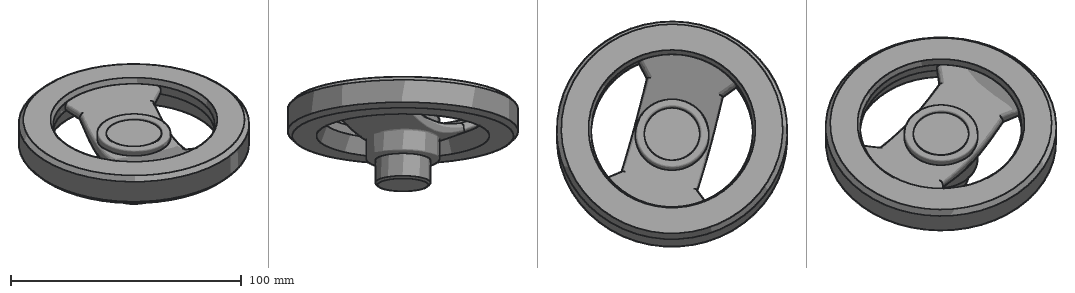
import cadquery as cq


rim_radius = 50.0
rim_height = 14.0
rim_chamfer = 2.0
rim_bore_radius = 35.0
rim_throat_top_depth = 2.4
rim_throat_bottom_depth = 6.4
rim_top_bore_radius = 36.2
rim_bottom_bore_radius = 37.5

web_end_radius = 36.0
web_end_top_depth = 2.0
web_end_bottom_depth = 6.0
web_mid_radius = 26.7
web_mid_top_depth = 5.6
web_mid_bottom_depth = 10.2
web_start_radius = 14.0
web_start_top_depth = 9.4

web_blend_radius = 17.2
web_blend_depth = 14.4
blend_mid_radius = 16.3
blend_mid_depth = 14.9
blend_bottom_depth = 15.7

web_half_width = 17.0
web_straight_half_length = 22.3
web_flare_length = 12.0
web_top_edge_radius = 2.0
web_bottom_edge_radius = 1.0

match_tolerance = 0.01
shortest_long_edge = 1.0

hub_radius = 31.9 / 2
hub_top_depth = 6.0
hub_bottom_depth = 25.0
hub_edge_radius = 1.0
shaft_radius = 24.0 / 2
shaft_top_depth = 7.0
shaft_bottom_depth = 36.0
shaft_chamfer = 1.0


def make_rim():
    """Ring with chamfered outer edges and a bore that opens both up and down."""
    profile = (
        cq.Workplane("XZ")
        .moveTo(rim_top_bore_radius, 0)
        .lineTo(rim_radius - rim_chamfer, 0)
        .lineTo(rim_radius, -rim_chamfer)
        .lineTo(rim_radius, -rim_height + rim_chamfer)
        .lineTo(rim_radius - rim_chamfer, -rim_height)
        .lineTo(rim_bottom_bore_radius, -rim_height)
        .lineTo(rim_bore_radius, -rim_throat_bottom_depth)
        .lineTo(rim_bore_radius, -rim_throat_top_depth)
        .close()
    )
    return profile.revolve(360, (0, 0, 0), (0, 1, 0))


class LongEdges(cq.Selector):
    """Picks the edges that follow the sides of the web inside a range of heights."""

    def __init__(self, lowest, highest):
        self.lowest = lowest
        self.highest = highest

    def filter(self, edges):
        return [edge for edge in edges if self.matches(edge)]

    def matches(self, edge):
        box = edge.BoundingBox()
        same_side = box.ymin * box.ymax > 0
        on_side = min(abs(box.ymin), abs(box.ymax)) > web_half_width - match_tolerance
        runs_along = box.xmax - box.xmin > shortest_long_edge
        above_lowest = box.zmin > self.lowest - match_tolerance
        below_highest = box.zmax < self.highest + match_tolerance
        return same_side and on_side and runs_along and above_lowest and below_highest


def make_plan():
    """Prism with the two-arm plan shape of the web; its ends lie inside the rim."""
    flare_x = web_straight_half_length + web_flare_length
    flare_y = web_half_width + web_flare_length
    half_outline = [
        (-rim_radius, flare_y),
        (-flare_x, flare_y),
        (-web_straight_half_length, web_half_width),
        (web_straight_half_length, web_half_width),
        (flare_x, flare_y),
        (rim_radius, flare_y),
    ]
    opposite_half = [(-x, -y) for x, y in half_outline]
    return (
        cq.Workplane("XY")
        .polyline(half_outline + opposite_half)
        .close()
        .extrude(-hub_bottom_depth)
    )


def make_web():
    """Dished disc cut to the two-arm plan shape, with rounded long edges."""
    disc = (
        cq.Workplane("XZ")
        .moveTo(web_start_radius, -web_start_top_depth)
        .threePointArc((web_mid_radius, -web_mid_top_depth), (web_end_radius, -web_end_top_depth))
        .lineTo(web_end_radius, -web_end_bottom_depth)
        .threePointArc((web_mid_radius, -web_mid_bottom_depth), (web_blend_radius, -web_blend_depth))
        .threePointArc((blend_mid_radius, -blend_mid_depth), (hub_radius, -blend_bottom_depth))
        .lineTo(web_start_radius, -blend_bottom_depth)
        .close()
        .revolve(360, (0, 0, 0), (0, 1, 0))
    )
    web = disc.intersect(make_plan())
    top_edges = web.edges(LongEdges(-web_start_top_depth, -web_end_top_depth))
    web = top_edges.fillet(web_top_edge_radius)
    bottom_edges = web.edges(LongEdges(-blend_bottom_depth, -web_end_bottom_depth))
    return bottom_edges.fillet(web_bottom_edge_radius)


def make_hub():
    """Sleeve with rounded rims, filled by a shaft that stops short of its top face."""
    sleeve = (
        cq.Workplane("XY")
        .workplane(offset=-hub_bottom_depth)
        .circle(hub_radius)
        .circle(shaft_radius)
        .extrude(hub_bottom_depth - hub_top_depth)
    )
    sleeve = sleeve.faces(">Z").edges().fillet(hub_edge_radius)
    sleeve = sleeve.faces("<Z").edges(cq.selectors.RadiusNthSelector(-1)).fillet(hub_edge_radius)
    shaft = (
        cq.Workplane("XY")
        .workplane(offset=-shaft_bottom_depth)
        .circle(shaft_radius)
        .extrude(shaft_bottom_depth - shaft_top_depth)
        .faces("<Z")
        .chamfer(shaft_chamfer)
    )
    return sleeve.union(shaft)


result = make_rim().union(make_web()).union(make_hub())